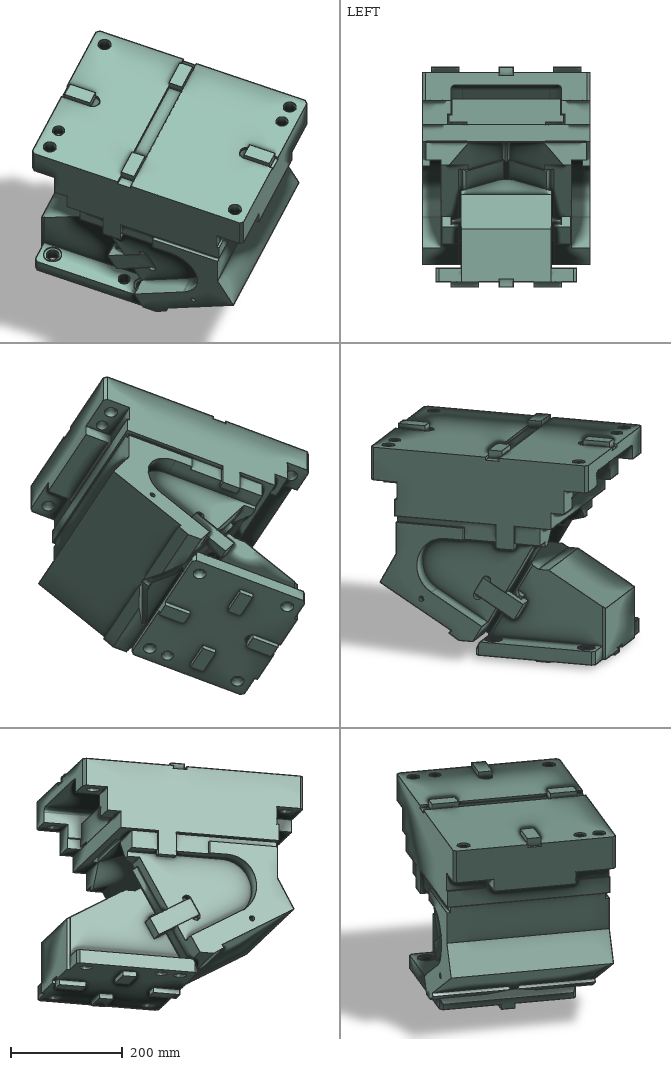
import cadquery as cq
import math

HALF_WIDTH = 150.0
TOTAL_HEIGHT = 393.0
FAR = 840.0

TILT = math.radians(30)
ROOF = math.radians(30)
SIN_TILT = math.sin(TILT)
COS_TILT = math.cos(TILT)
ROOF_SLOPE = math.tan(ROOF)

KEY_LENGTH = 49.5
KEY_WIDTH = 25.0
KEY_PROUD = 9.2
KEYWAY_DEPTH = 5.5
CORNER_CHAMFER = 5.5

HOLDER_LEFT = 10.0
HOLDER_RIGHT = 420.0
HOLDER_TOP = TOTAL_HEIGHT - KEY_PROUD
PLATE_LEFT_BOTTOM = 334.0
PLATE_RIGHT_BOTTOM = 323.5
STEP_X = 55.0
STEP_Z = 290.5
FOOT_LEFT = 79.5
FOOT_RIGHT = 374.5
FOOT_BOTTOM = 260.5
REAR_FACE_X = 370.5
HOLDER_HOLE_X = (35.3, 395.0)
HOLDER_HOLE_Y = 125.0
HOLDER_HOLE_R = 11.5
DOWEL_HOLES = ((35.3, -85.3), (395.0, 90.0))
DOWEL_R = 10.5
CROSS_KEYWAY_X = 190.3
CROSS_KEY_Y = 109.0
END_KEY_INSET = 6.0
HOLDER_SLOT_LENGTH = 68.0

SLOT_END = 336.0
SLOT_HALF_WIDTH = 99.0
SLOT_FLOOR = STEP_Z
SLOT_TOP = 361.0
SLOT_CORNER_R = 21.0
SLOT_TOP_FILLET = 8.5
SLOT_WING_HALF_WIDTH = 104.5
SLOT_WING_TOP = 309.0
NECK_SLOT_START = 92.5
NECK_SLOT_HALF_WIDTH = 75.0

CLAW_LEFT = 149.5
CLAW_RIGHT = 183.0
CLAW_BOTTOM = 216.7
CLAW_TIP_HALF_WIDTH = 136.5

LUG_HALF_WIDTH = 75.5
LUG_BOTTOM = 300.7
LUG_ROOT_X = 376.5

SLIDER_LEFT = 102.0
SLIDER_RIGHT = 371.5
SLIDER_TOP = 258.7
SLIDER_CHIN = 218.0
SLIDER_BOTTOM = 40.5
SLIDER_NOSE = (402.5, 135.2)
REAR_CORNER_Z = 190.5
FACE_STEP = (268.0, 57.5)
FACE_STEP_OUTER = (272.0, 52.5)
BOTTOM_END_X = 253.3
INCLINE_N = 216.7
FLANGE_HALF_WIDTH = 143.2
FLANGE_BOTTOM = 227.0
CHEEK_LEFT = 245.3
CHEEK_TOP = 248.5
RECESS_HALF_WIDTH = 116.5
RECESS_ARC_X = 278.0
RECESS_R = 54.5
CHEEK_HOLE = (324.2, 111.5)
CHEEK_HOLE_R = 4.5
CHEEK_HOLE_DEPTH = 12.5
CHEEK_HOLE_TIP = math.radians(118)

BLOCK_LEFT = 79.5
BLOCK_RIGHT = SLOT_END - SLOT_CORNER_R
BLOCK_HALF_WIDTH = 97.0
BLOCK_WING_HALF_WIDTH = 102.5
BLOCK_WING_TOP = 308.0
BLOCK_BOTTOM = 295.0
BLOCK_TOP = 336.0
NECK_HALF_WIDTH = 70.5

LEAD_IN_RIDGE = 256.0
LEAD_IN_NOSE_ROOT = 6.5
LEAD_IN_NOSE_TIP = 2.0
WEAR_RIDGE = 252.0
PLATE_THICKNESS = 12.0
PLATE_SEAT_RIDGE = WEAR_RIDGE + PLATE_THICKNESS / math.cos(ROOF)
PLATE_EDGE_Y = 72.0
PLATE_GAP = 5.0
PLATE_START_S = -117.5
PLATE_END_S = 79.0

HOOK_START_S = -21.0
HOOK_END_S = 13.5
HOOK_TIP_N = 178.0
HOOK_TOP_N = 265.5
HOOK_LEDGE_N = 189.0
HOOK_OUTER_Y = 115.0
HOOK_INNER_Y = 99.0
HOOK_LIP_Y = 85.3
RELIEF_R = 7.5
RELIEF_N = 257.5

DRIVER_BOTTOM = KEY_PROUD
DRIVER_HALF_WIDTH = 81.0
DRIVER_RIGHT = 230.0
FRONT_PAD_X = 6.0
FRONT_PAD_HALF_WIDTH = 80.0
SHOULDER_START_X = 107.0
SHOULDER_END_X = 126.0
SHOULDER_Z = 165.5
RIDGE_HALF_FLAT = 9.5
ROOF_END_S = 82.5
BASE_TRIM_N = 209.0
BASE_LEFT = 5.5
BASE_HALF_WIDTH = 125.5
BASE_TOP = 34.0
BASE_BOLT_X = (30.0, 205.0)
BASE_BOLT_Y = 99.5
BASE_BOLT_R = 11.5
BASE_SPOTFACE_R = 16.0
BASE_SPOTFACE_DEPTH = 2.0
BASE_DOWEL_X = 169.3
BASE_DOWEL_Y = -101.0
LEDGE_START_S = -25.0
LEDGE_END_S = 12.5
LEDGE_Y = 98.0
BASE_CROSS_KEY_X = 111.5
BASE_CROSS_KEY_Y = 74.5
BASE_SLOT_LENGTH = 63.0


def incline_point(s, n):
    """X and Z of a point s down the incline and n out from it."""
    return (s * SIN_TILT + n * COS_TILT, n * SIN_TILT - s * COS_TILT)


def side_prism(points, y_start, y_end):
    """Extrude an XZ outline between two Y positions."""
    plane = cq.Workplane("XZ", origin=(0, y_start, 0))
    return plane.polyline(points).close().extrude(y_start - y_end)


def guide_prism(points, s_start, s_end):
    """Extrude a cross-section in (Y, n) along the incline."""
    start_x, start_z = incline_point(s_start, 0)
    plane = cq.Plane(origin=(start_x, 0, start_z), xDir=(0, 1, 0), normal=(SIN_TILT, 0, -COS_TILT))
    return cq.Workplane(plane).polyline(points).close().extrude(s_end - s_start)


def box(x_start, x_end, y_start, y_end, z_start, z_end):
    size = (x_end - x_start, y_end - y_start, z_end - z_start)
    corner = (x_start, y_start, z_start)
    return cq.Workplane("XY", origin=corner).box(*size, centered=False)


def wide_box(x_start, x_end, half_width, z_start, z_end):
    return box(x_start, x_end, -half_width, half_width, z_start, z_end)


def hole(x, y, radius, z_start, z_end):
    return cq.Workplane("XY", origin=(x, y, z_start)).circle(radius).extrude(z_end - z_start)


def mirrored(shape):
    """The shape together with its mirror image across the XZ plane."""
    return shape.union(shape.mirror("XZ"))


def end_slot(open_x, round_x, z_start, z_end):
    """Keyway on the centre line, open at one end and round at the other."""
    radius = KEY_WIDTH / 2
    inward = math.copysign(radius, round_x - open_x)
    centre_x = round_x - inward
    left, right = sorted((open_x, centre_x))
    straight = wide_box(left, right, radius, z_start, z_end)
    return straight.union(hole(centre_x, 0, radius, z_start, z_end))


def end_key(x_start, z_start, z_end):
    return wide_box(x_start, x_start + KEY_LENGTH, KEY_WIDTH / 2, z_start, z_end)


def cross_keys(x, y, z_start, z_end):
    """A pair of keys lying along Y, one on each side of the centre line."""
    x_range = (x - KEY_WIDTH / 2, x + KEY_WIDTH / 2)
    return mirrored(box(*x_range, y - KEY_LENGTH / 2, y + KEY_LENGTH / 2, z_start, z_end))


def roof_height(ridge, y):
    """Height n of a V face at distance y from the centre line."""
    return ridge - ROOF_SLOPE * abs(y)


def holder_t_slot():
    pocket = wide_box(0, SLOT_END, SLOT_HALF_WIDTH, SLOT_FLOOR, SLOT_TOP)
    pocket = pocket.edges("|Z and >X").fillet(SLOT_CORNER_R)
    pocket = pocket.faces(">Z").edges(">X").fillet(SLOT_TOP_FILLET)
    wings = wide_box(0, BLOCK_RIGHT, SLOT_WING_HALF_WIDTH, SLOT_FLOOR, SLOT_WING_TOP)
    neck = wide_box(NECK_SLOT_START, SLOT_END, NECK_SLOT_HALF_WIDTH, FOOT_BOTTOM, SLOT_FLOOR)
    return pocket.union(wings).union(neck)


def holder_claws():
    bar = box(CLAW_LEFT, CLAW_RIGHT, FLANGE_HALF_WIDTH, HALF_WIDTH, CLAW_BOTTOM, FOOT_BOTTOM)
    tip = box(CLAW_LEFT, CLAW_RIGHT, CLAW_TIP_HALF_WIDTH, HALF_WIDTH, CLAW_BOTTOM, FLANGE_BOTTOM)
    return mirrored(bar.union(tip))


def holder_lug():
    outline = [
        (REAR_FACE_X, STEP_Z),
        (LUG_ROOT_X, STEP_Z),
        (LUG_ROOT_X, LUG_BOTTOM),
        (HOLDER_RIGHT, LUG_BOTTOM),
        (HOLDER_RIGHT, PLATE_RIGHT_BOTTOM),
        (REAR_FACE_X, PLATE_RIGHT_BOTTOM),
    ]
    return side_prism(outline, -LUG_HALF_WIDTH, LUG_HALF_WIDTH)


def make_holder():
    outline = [
        (HOLDER_LEFT, HOLDER_TOP),
        (HOLDER_LEFT, PLATE_LEFT_BOTTOM),
        (STEP_X, PLATE_LEFT_BOTTOM),
        (STEP_X, STEP_Z),
        (FOOT_LEFT, STEP_Z),
        (FOOT_LEFT, FOOT_BOTTOM),
        (FOOT_RIGHT, FOOT_BOTTOM),
        (FOOT_RIGHT, STEP_Z),
        (REAR_FACE_X, STEP_Z),
        (REAR_FACE_X, PLATE_RIGHT_BOTTOM),
        (HOLDER_RIGHT, PLATE_RIGHT_BOTTOM),
        (HOLDER_RIGHT, HOLDER_TOP),
    ]
    holder = side_prism(outline, -HALF_WIDTH, HALF_WIDTH)
    holder = holder.edges("|Z and (<X or >X)").chamfer(CORNER_CHAMFER)
    holder = holder.cut(holder_t_slot()).union(holder_claws()).union(holder_lug())

    for x in HOLDER_HOLE_X:
        for y in (-HOLDER_HOLE_Y, HOLDER_HOLE_Y):
            holder = holder.cut(hole(x, y, HOLDER_HOLE_R, PLATE_RIGHT_BOTTOM, HOLDER_TOP))
    for x, y in DOWEL_HOLES:
        holder = holder.cut(hole(x, y, DOWEL_R, PLATE_RIGHT_BOTTOM, HOLDER_TOP))

    keyway_floor = HOLDER_TOP - KEYWAY_DEPTH
    keyway_x = (CROSS_KEYWAY_X - KEY_WIDTH / 2, CROSS_KEYWAY_X + KEY_WIDTH / 2)
    holder = holder.cut(wide_box(*keyway_x, HALF_WIDTH, keyway_floor, HOLDER_TOP))
    slot_depth = (keyway_floor, HOLDER_TOP)
    holder = holder.cut(end_slot(HOLDER_LEFT, HOLDER_LEFT + HOLDER_SLOT_LENGTH, *slot_depth))
    holder = holder.cut(end_slot(HOLDER_RIGHT, HOLDER_RIGHT - HOLDER_SLOT_LENGTH, *slot_depth))

    key_heights = (keyway_floor, TOTAL_HEIGHT)
    holder = holder.union(cross_keys(CROSS_KEYWAY_X, CROSS_KEY_Y, *key_heights))
    holder = holder.union(end_key(HOLDER_LEFT + END_KEY_INSET, *key_heights))
    return holder.union(end_key(HOLDER_RIGHT - END_KEY_INSET - KEY_LENGTH, *key_heights))


def slider_body():
    chin_end_x = (INCLINE_N - SLIDER_CHIN * SIN_TILT) / COS_TILT
    incline_end_x = (INCLINE_N - SLIDER_BOTTOM * SIN_TILT) / COS_TILT
    outline = [
        (SLIDER_LEFT, SLIDER_TOP),
        (SLIDER_LEFT, SLIDER_CHIN),
        (chin_end_x, SLIDER_CHIN),
        (incline_end_x, SLIDER_BOTTOM),
        (BOTTOM_END_X, SLIDER_BOTTOM),
        FACE_STEP_OUTER,
        FACE_STEP,
        SLIDER_NOSE,
        (SLIDER_RIGHT, REAR_CORNER_Z),
        (SLIDER_RIGHT, SLIDER_TOP),
    ]
    return side_prism(outline, -HALF_WIDTH, HALF_WIDTH)


def side_recess():
    """Recess on the +Y side, bounded by the flange, a round and a 30 deg edge."""
    arc_centre_z = FLANGE_BOTTOM - RECESS_R
    arc_end = (RECESS_ARC_X + RECESS_R * SIN_TILT, arc_centre_z - RECESS_R * COS_TILT)
    arc_middle = (RECESS_ARC_X + RECESS_R * COS_TILT, arc_centre_z + RECESS_R * SIN_TILT)
    edge_end_z = arc_end[1] - arc_end[0] * math.tan(TILT)
    return (
        cq.Workplane("XZ", origin=(0, RECESS_HALF_WIDTH, 0))
        .moveTo(0, FLANGE_BOTTOM)
        .lineTo(RECESS_ARC_X, FLANGE_BOTTOM)
        .threePointArc(arc_middle, arc_end)
        .lineTo(0, edge_end_z)
        .close()
        .extrude(RECESS_HALF_WIDTH - HALF_WIDTH)
    )


def flange_trims():
    """Material removed on the +Y side so that the flange passes the claws."""
    front = box(SLIDER_LEFT, CHEEK_LEFT, FLANGE_HALF_WIDTH, HALF_WIDTH, FLANGE_BOTTOM, SLIDER_TOP)
    rear = box(CHEEK_LEFT, SLIDER_RIGHT, FLANGE_HALF_WIDTH, HALF_WIDTH, CHEEK_TOP, SLIDER_TOP)
    return front.union(rear)


def v_groove(ridge, ridge_points, s_start, s_end):
    """V-shaped cutter opening below the slider's chin; ridge_points lie on the +Y side."""
    mouth_n = SLIDER_LEFT * COS_TILT + SLIDER_CHIN * SIN_TILT
    half_section = [((ridge - mouth_n) / ROOF_SLOPE, mouth_n)] + ridge_points
    other_half = [(-y, n) for y, n in reversed(half_section)]
    return guide_prism(half_section + other_half, s_start, s_end)


def lead_in_groove():
    """Groove above the wear plates, with a nose whose flanks are square to the V."""
    root_n = roof_height(LEAD_IN_RIDGE, LEAD_IN_NOSE_ROOT)
    tip_n = root_n - (LEAD_IN_NOSE_ROOT - LEAD_IN_NOSE_TIP) / ROOF_SLOPE
    nose = [(LEAD_IN_NOSE_ROOT, root_n), (LEAD_IN_NOSE_TIP, tip_n)]
    return v_groove(LEAD_IN_RIDGE, nose, -FAR, PLATE_START_S)


def plate_seat():
    """Deeper groove that holds the wear plates and runs out of the slider's bottom."""
    flat = [(PLATE_GAP, roof_height(PLATE_SEAT_RIDGE, PLATE_GAP))]
    return v_groove(PLATE_SEAT_RIDGE, flat, PLATE_START_S, FAR)


def wear_plates():
    """The two V-guide plates; their outer edges are square to the roof slope."""
    seat_edge_y = PLATE_EDGE_Y + PLATE_THICKNESS * math.sin(ROOF)
    section = [
        (PLATE_GAP, roof_height(WEAR_RIDGE, PLATE_GAP)),
        (PLATE_EDGE_Y, roof_height(WEAR_RIDGE, PLATE_EDGE_Y)),
        (seat_edge_y, roof_height(PLATE_SEAT_RIDGE, seat_edge_y)),
        (PLATE_GAP, roof_height(PLATE_SEAT_RIDGE, PLATE_GAP)),
    ]
    return mirrored(guide_prism(section, PLATE_START_S, PLATE_END_S))


def return_hook():
    """Plate on the +Y side whose lip reaches under the driver's ledge."""
    section = [
        (HOOK_LIP_Y, HOOK_TIP_N),
        (HOOK_OUTER_Y, HOOK_TIP_N),
        (HOOK_OUTER_Y, HOOK_TOP_N),
        (HOOK_INNER_Y, HOOK_TOP_N),
        (HOOK_INNER_Y, HOOK_LEDGE_N),
        (HOOK_LIP_Y, HOOK_LEDGE_N),
    ]
    return guide_prism(section, HOOK_START_S, HOOK_END_S)


def hook_slot():
    """Slot on the +Y side that takes the hook, with round corner reliefs."""
    section = [
        (HOOK_INNER_Y, INCLINE_N),
        (HALF_WIDTH, INCLINE_N),
        (HALF_WIDTH, HOOK_TOP_N),
        (HOOK_INNER_Y, HOOK_TOP_N),
    ]
    slot = guide_prism(section, HOOK_START_S, HOOK_END_S)
    for s in (HOOK_START_S, HOOK_END_S):
        plane = cq.Workplane("XZ", origin=(0, HOOK_INNER_Y, 0))
        relief = plane.center(*incline_point(s, RELIEF_N)).circle(RELIEF_R)
        slot = slot.union(relief.extrude(HOOK_INNER_Y - HALF_WIDTH))
    return slot


def cheek_hole():
    """Blind hole in the +Y cheek with a conical drill tip."""
    plane = cq.Workplane("XZ", origin=(0, HALF_WIDTH, 0))
    bore = plane.center(*CHEEK_HOLE).circle(CHEEK_HOLE_R).extrude(CHEEK_HOLE_DEPTH)
    tip_depth = CHEEK_HOLE_R / math.tan(CHEEK_HOLE_TIP / 2)
    x, z = CHEEK_HOLE
    tip_base = cq.Vector(x, HALF_WIDTH - CHEEK_HOLE_DEPTH, z)
    tip = cq.Solid.makeCone(CHEEK_HOLE_R, 0, tip_depth, tip_base, cq.Vector(0, -1, 0))
    return bore.union(cq.Workplane(tip))


def hanging_block():
    """T-shaped block that hangs the slider in the holder's slot."""
    neck = wide_box(SLIDER_LEFT, BLOCK_RIGHT, NECK_HALF_WIDTH, SLIDER_TOP, BLOCK_TOP)
    core = wide_box(BLOCK_LEFT, BLOCK_RIGHT, NECK_HALF_WIDTH, SLOT_FLOOR, BLOCK_TOP)
    body = wide_box(BLOCK_LEFT, BLOCK_RIGHT, BLOCK_HALF_WIDTH, BLOCK_BOTTOM, BLOCK_TOP)
    wings = wide_box(BLOCK_LEFT, BLOCK_RIGHT, BLOCK_WING_HALF_WIDTH, BLOCK_BOTTOM, BLOCK_WING_TOP)
    return neck.union(core).union(body).union(wings)


def make_slider():
    slider = slider_body()
    for trim in (side_recess(), flange_trims(), cheek_hole(), hook_slot()):
        slider = slider.cut(mirrored(trim))
    slider = slider.cut(lead_in_groove()).cut(plate_seat())
    slider = slider.union(wear_plates())
    slider = slider.union(mirrored(return_hook()))
    return slider.union(hanging_block())


def front_slope_z(x):
    """Height of the driver's sloped front top at a given X."""
    return SHOULDER_Z - math.tan(TILT) * (SHOULDER_START_X - x)


def front_pad():
    """Slightly narrower pad on the driver's front, under the same slope."""
    outline = [
        (0, DRIVER_BOTTOM),
        (0, front_slope_z(0)),
        (FRONT_PAD_X, front_slope_z(FRONT_PAD_X)),
        (FRONT_PAD_X, DRIVER_BOTTOM),
    ]
    return side_prism(outline, -FRONT_PAD_HALF_WIDTH, FRONT_PAD_HALF_WIDTH)


def driver_body():
    """Wedge body whose top is a V roof lying on the incline."""
    ridge_n = roof_height(WEAR_RIDGE, RIDGE_HALF_FLAT)
    pad_corner_z = front_slope_z(FRONT_PAD_X)
    ridge_s = SHOULDER_END_X * SIN_TILT - SHOULDER_Z * COS_TILT
    base_trim_z = (BASE_TRIM_N - DRIVER_RIGHT * COS_TILT) / SIN_TILT
    outline = [
        (FRONT_PAD_X, DRIVER_BOTTOM),
        (FRONT_PAD_X, pad_corner_z),
        (SHOULDER_START_X, SHOULDER_Z),
        (SHOULDER_END_X, SHOULDER_Z),
        incline_point(ridge_s, ridge_n),
        incline_point(ROOF_END_S, ridge_n),
        incline_point(ROOF_END_S, BASE_TRIM_N),
        (DRIVER_RIGHT, base_trim_z),
        (DRIVER_RIGHT, DRIVER_BOTTOM),
    ]
    body = side_prism(outline, -DRIVER_HALF_WIDTH, DRIVER_HALF_WIDTH)
    above_roof = [
        (RIDGE_HALF_FLAT, ridge_n),
        (DRIVER_HALF_WIDTH, roof_height(WEAR_RIDGE, DRIVER_HALF_WIDTH)),
        (DRIVER_HALF_WIDTH, ridge_n),
    ]
    return body.cut(mirrored(guide_prism(above_roof, -FAR, FAR)))


def driver_base():
    base = wide_box(BASE_LEFT, DRIVER_RIGHT, BASE_HALF_WIDTH, DRIVER_BOTTOM, BASE_TOP)
    base = base.edges("|Z").chamfer(CORNER_CHAMFER)
    beyond_trim = [
        (-BASE_HALF_WIDTH, BASE_TRIM_N),
        (BASE_HALF_WIDTH, BASE_TRIM_N),
        (BASE_HALF_WIDTH, FAR),
        (-BASE_HALF_WIDTH, FAR),
    ]
    base = base.cut(guide_prism(beyond_trim, -FAR, FAR))
    spotface_floor = BASE_TOP - BASE_SPOTFACE_DEPTH
    for x in BASE_BOLT_X:
        for y in (-BASE_BOLT_Y, BASE_BOLT_Y):
            base = base.cut(hole(x, y, BASE_BOLT_R, DRIVER_BOTTOM, BASE_TOP))
            base = base.cut(hole(x, y, BASE_SPOTFACE_R, spotface_floor, BASE_TOP))
    return base.cut(hole(BASE_DOWEL_X, BASE_DOWEL_Y, DOWEL_R, DRIVER_BOTTOM, BASE_TOP))


def driver_ledge():
    """Ledge on the +Y side, under the roof line, that the slider's hook grips."""
    section = [
        (0, HOOK_LEDGE_N),
        (LEDGE_Y, HOOK_LEDGE_N),
        (LEDGE_Y, roof_height(WEAR_RIDGE, LEDGE_Y)),
        (DRIVER_HALF_WIDTH, roof_height(WEAR_RIDGE, DRIVER_HALF_WIDTH)),
        (0, roof_height(WEAR_RIDGE, DRIVER_HALF_WIDTH)),
    ]
    return guide_prism(section, LEDGE_START_S, LEDGE_END_S)


def make_driver():
    driver = driver_body().union(driver_base()).union(mirrored(driver_ledge()))
    driver = driver.union(front_pad())

    keyway_floor = DRIVER_BOTTOM + KEYWAY_DEPTH
    driver = driver.cut(end_slot(0, BASE_SLOT_LENGTH, DRIVER_BOTTOM, keyway_floor))
    driver = driver.union(cross_keys(BASE_CROSS_KEY_X, BASE_CROSS_KEY_Y, 0, keyway_floor))
    driver = driver.union(end_key(BASE_LEFT, 0, keyway_floor))
    return driver.union(end_key(DRIVER_RIGHT - KEY_LENGTH, 0, keyway_floor))


holder = make_holder()
slider = make_slider()
driver = make_driver()
result = cq.Compound.makeCompound([holder.solids().val(), slider.solids().val(), driver.solids().val()])